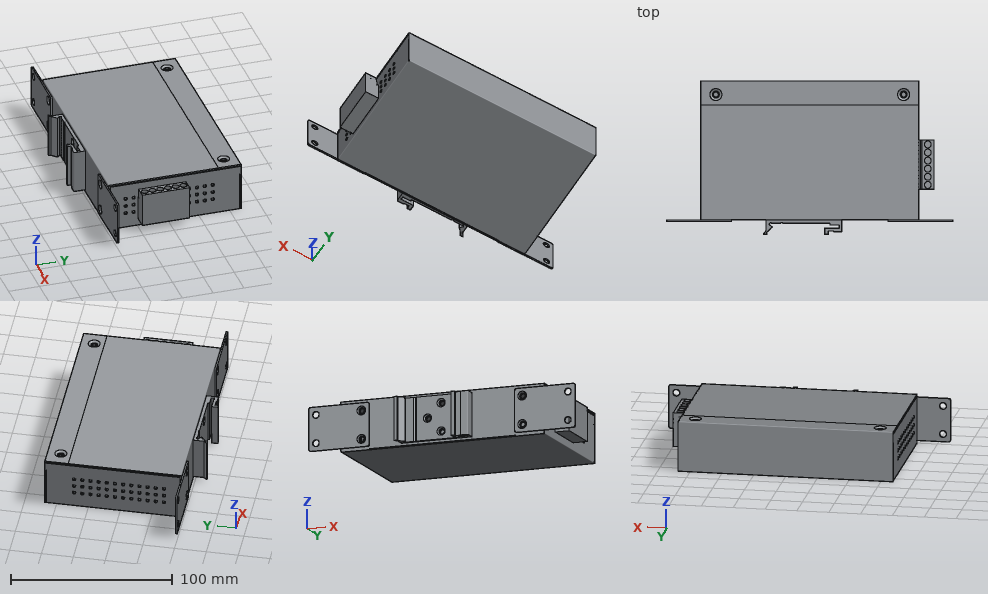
import cadquery as cq

housing_width = 135.0
housing_depth = 86.0
housing_height = 32.0
sheet = 1.01
bend_radius = 0.5
front_corner_radius = 0.7
front_notch_height = 0.5
half_width = housing_width / 2
mid_height = housing_height / 2

flange_depth = 14.9
flange_screw_x = 58.0
flange_screw_from_back = 8.5
flange_screw_head = 7.5
flange_screw_hole = 4.2
lip_depth = 12.4
lip_screw_hole = 3.0

end_wall_gap = 0.5
corner_slit_width = 0.09
corner_slit_top = 24.8
vent_columns = 12
vent_rows = 3
vent_pitch = 5.1
vent_diameter = 2.0
vent_middle_y = 39.3
vent_middle_z = 15.2

mount_height = 28.0
screw_offset = 9.0
front_screw_hole = 3.0

rack_span = 177.0
ear_width = 40.2
ear_thickness = sheet
ear_corner_radius = 1.5
rack_hole_x = 83.7
rack_hole_diameter = 4.2
ear_screw_x = 53.5
ear_screw_head = 5.7
ear_screw_hole = 4.0

clip_screw_head = 5.3
clip_screw_hole = 3.5
clip_sink_depth = 1.0
clip_plate = 2.1
clip_reach = 9.0
clip_left = -27.0
clip_right = 19.8
clip_corner_radius = 0.5
hook_tip_left = -28.7
hook_tip_right = -26.5
groove_x = -17.3
groove_depth = 0.5
groove_half_width = 0.9
jaw_left = 9.2
jaw_lip = 2.3
jaw_slot_left = 12.4
jaw_slot_right = 18.2
jaw_slot_top = 3.2
jaw_slot_bottom = 5.1
jaw_bottom = 7.5
jaw_relief = 0.5
jaw_relief_end = 15.0
jaw_relief_run = 0.4
clip_screws = [(0, screw_offset), (0, -screw_offset), (-screw_offset, 0)]

block_ways = 6
block_pitch = 5.01
block_length = 30.6
block_middle_y = 34.2
block_bottom = 5.1
block_top = 26.9
block_reach = 9.4
block_step = 1.0
block_slope_bottom = 20.2
block_slope_run = 0.7
block_screw_x = 5.5
block_screw_diameter = 4.2
block_screw_depth = 2.7


def box(x_range, y_range, z_range):
    """A box between the given pairs of coordinates."""
    size = [high - low for low, high in (x_range, y_range, z_range)]
    corner = (x_range[0], y_range[0], z_range[0])
    return cq.Workplane("XY").box(*size, centered=False).translate(corner)


def round_rod(diameter, length, start, direction):
    """A cylinder from a start point along a direction."""
    return cq.Workplane(
        cq.Solid.makeCylinder(diameter / 2, length, cq.Vector(*start), cq.Vector(*direction))
    )


def countersink(head, hole, depth, start, direction):
    """A cone that narrows from the head diameter to the hole diameter."""
    return cq.Workplane(
        cq.Solid.makeCone(head / 2, hole / 2, depth, cq.Vector(*start), cq.Vector(*direction))
    )


def front_screw_points():
    """X and Z of every screw that enters the front panel."""
    ear_points = [(sx * ear_screw_x, sz * screw_offset) for sx in (-1, 1) for sz in (-1, 1)]
    return [(x, mid_height + z) for x, z in ear_points + clip_screws]


def wall_range(side):
    """X range of the end wall at the left (-1) or right (1)."""
    return sorted((side * half_width, side * (half_width - sheet)))


def flange_screw_point(side):
    """Top of the flange screw at the left (-1) or right (1)."""
    return (side * flange_screw_x, housing_depth - flange_screw_from_back, housing_height)


def drill_vents(body):
    """Drill the grid of vent holes straight through both end walls."""
    for column in range(vent_columns):
        for row in range(vent_rows):
            y = vent_middle_y + (column - (vent_columns - 1) / 2) * vent_pitch
            z = vent_middle_z + (row - (vent_rows - 1) / 2) * vent_pitch
            body = body.cut(round_rod(vent_diameter, housing_width, (-half_width, y, z), (1, 0, 0)))
    return body


def make_base():
    """Floor, end walls, rear panel and the flange along the rear of the top."""
    across = (-half_width, half_width)
    rear_inner = housing_depth - sheet
    top_layer = (housing_height - sheet, housing_height)
    rear = box(across, (rear_inner, housing_depth), (0, housing_height))
    floor = box(across, (sheet, housing_depth), (0, sheet))
    flange = box(across, (housing_depth - flange_depth, housing_depth), top_layer)
    base = rear.union(floor).union(flange)

    wall_top = housing_height - sheet - end_wall_gap
    for side in (-1, 1):
        base = base.union(box(wall_range(side), (sheet, rear_inner), (0, wall_top)))

    base = base.edges("(>Y and |X) or (<Z and |Y)").fillet(bend_radius)

    for side in (-1, 1):
        slit_y = (rear_inner - corner_slit_width, rear_inner)
        base = base.cut(box(wall_range(side), slit_y, (sheet, corner_slit_top)))
        screw = flange_screw_point(side)
        base = base.cut(countersink(flange_screw_head, flange_screw_hole, sheet, screw, (0, 0, -1)))
    return drill_vents(base)


def make_cover():
    """Top plate and front panel, with a lip that takes the screws under the flange."""
    across = (-half_width, half_width)
    flange_front = housing_depth - flange_depth
    top = box(across, (0, flange_front), (housing_height - sheet, housing_height))
    front = box(across, (0, sheet), (0, housing_height))
    front = front.edges("<Z and |Y").fillet(front_corner_radius)
    cover = top.union(front).edges("<Y and >Z").fillet(bend_radius)

    notch_x = rack_span / 2 - ear_width
    cover = cover.cut(box((-notch_x, notch_x), (0, sheet), (0, front_notch_height)))

    lip_x = half_width - sheet
    lip = box(
        (-lip_x, lip_x),
        (flange_front - sheet, flange_front + lip_depth),
        (housing_height - 2 * sheet, housing_height - sheet),
    )
    cover = cover.union(lip)
    for side in (-1, 1):
        cover = cover.cut(round_rod(lip_screw_hole, 2 * sheet, flange_screw_point(side), (0, 0, -1)))
    for x, z in front_screw_points():
        cover = cover.cut(round_rod(front_screw_hole, sheet, (x, 0, z), (0, 1, 0)))
    return cover


def make_ear(side):
    """Flat rack ear on the front panel; side is -1 for left, 1 for right."""
    middle_x = side * (rack_span - ear_width) / 2
    ear = (
        cq.Workplane("XZ", origin=(middle_x, 0, mid_height))
        .rect(ear_width, mount_height)
        .extrude(ear_thickness)
        .edges("|Y")
        .fillet(ear_corner_radius)
    )
    for z in (mid_height - screw_offset, mid_height + screw_offset):
        rack_hole = (side * rack_hole_x, -ear_thickness, z)
        ear_screw = (side * ear_screw_x, -ear_thickness, z)
        ear = ear.cut(round_rod(rack_hole_diameter, ear_thickness, rack_hole, (0, 1, 0)))
        ear = ear.cut(countersink(ear_screw_head, ear_screw_hole, ear_thickness, ear_screw, (0, 1, 0)))
    return ear


def make_clip():
    """Rail clip: a plate with a sprung hook at the left and a folded jaw at the right."""
    hook = [
        (clip_left, 0),
        (clip_left, -6.7),
        (hook_tip_left, -8.7),
        (hook_tip_left, -clip_reach),
        (hook_tip_right, -clip_reach),
        (hook_tip_right, -7.8),
        (-23.2, -4.5),
        (-25.1, -2.7),
        (-24.2, -1.6),
        (-23.7, -clip_plate),
    ]
    groove = [
        (groove_x - groove_half_width, -clip_plate),
        (groove_x, groove_depth - clip_plate),
        (groove_x + groove_half_width, -clip_plate),
    ]
    jaw_corner = (clip_right, -jaw_bottom)
    jaw = [
        (jaw_slot_left, -clip_plate),
        (jaw_slot_left, -jaw_slot_top),
        (jaw_slot_right, -jaw_slot_top),
        (jaw_slot_right, -jaw_slot_bottom),
        (jaw_left, -jaw_slot_bottom),
        (jaw_left, -clip_reach),
        (jaw_left + jaw_lip, -clip_reach),
        (jaw_left + jaw_lip, jaw_relief - jaw_bottom),
        (jaw_relief_end - jaw_relief_run, jaw_relief - jaw_bottom),
        (jaw_relief_end, -jaw_bottom),
        jaw_corner,
        (clip_right, 0),
    ]
    clip = (
        cq.Workplane("XY", origin=(0, 0, mid_height - mount_height / 2))
        .polyline(hook + groove + jaw)
        .close()
        .extrude(mount_height)
    )
    jaw_edge = cq.selectors.NearestToPointSelector((*jaw_corner, mid_height))
    clip = clip.edges(jaw_edge).fillet(clip_corner_radius)
    for x, z in clip_screws:
        start = (x, -clip_plate, mid_height + z)
        clip = clip.cut(countersink(clip_screw_head, clip_screw_hole, clip_sink_depth, start, (0, 1, 0)))
        clip = clip.cut(round_rod(clip_screw_hole, clip_plate, start, (0, 1, 0)))
    return clip


def make_terminal_block():
    """Screw terminal block on the right end wall, with a row of screw wells in its top."""
    outline = [
        (0, block_bottom),
        (block_reach, block_bottom),
        (block_reach, block_top),
        (block_step + block_slope_run, block_top),
        (block_step, block_slope_bottom),
        (0, block_slope_bottom),
    ]
    block = (
        cq.Workplane("XZ", origin=(half_width, block_middle_y + block_length / 2, 0))
        .polyline(outline)
        .close()
        .extrude(block_length)
    )
    for way in range(block_ways):
        y = block_middle_y + (way - (block_ways - 1) / 2) * block_pitch
        well = (half_width + block_screw_x, y, block_top)
        block = block.cut(round_rod(block_screw_diameter, block_screw_depth, well, (0, 0, -1)))
    return block


base = make_base()
cover = make_cover()
ears = [make_ear(side) for side in (-1, 1)]
clip = make_clip()
terminal_block = make_terminal_block()

result = cq.Compound.makeCompound(
    [base.val(), cover.val(), *[ear.val() for ear in ears], clip.val(), terminal_block.val()]
)